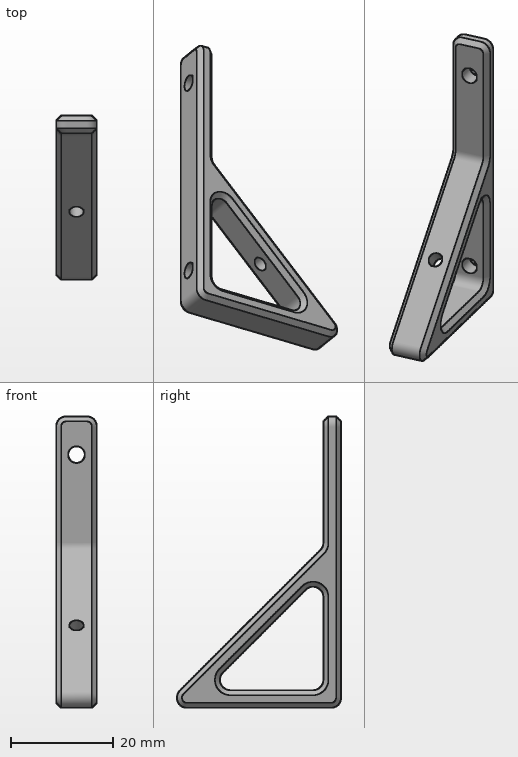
import cadquery as cq
import math

width = 8.0
height = 57.0
bar = 3.5
inner_sum = 30.0
corner_radius = 2.0
edge_chamfer = 1.0

wall_hole_diameter = 3.2
wall_hole_inset = 7.5
brace_hole_diameter = 2.8
brace_hole_height = 16.13

outer_sum = inner_sum + bar * math.sqrt(2)
brace_top = outer_sum - bar
window_tip = inner_sum - bar


def side_prism(points):
    """Extrude an outline of (depth, height) points over the full width, centred on X = 0."""
    outline = [(-depth, level) for depth, level in points]
    return cq.Workplane("YZ").polyline(outline).close().extrude(width / 2, both=True)


def make_frame():
    """Outer outline with rounded corners, chamfered all along both side faces."""
    frame = side_prism([(0, 0), (outer_sum, 0), (bar, brace_top), (bar, height), (0, height)])
    frame = frame.edges("|X").edges("not >Z").fillet(corner_radius)
    frame = frame.edges("|Y").edges(">Z").fillet(corner_radius)
    return frame.faces("<X").edges("|Z and >Y").chamfer(edge_chamfer)


def cut_window(body):
    """Triangular opening with rounded corners, chamfered at both side faces."""
    window = side_prism([(bar, bar), (window_tip, bar), (bar, window_tip)])
    window = window.edges("|X").fillet(corner_radius)
    body = body.cut(window)
    return body.faces("<X or >X").edges("|Z").edges("<Y").chamfer(edge_chamfer)


def drill_wall(body, level):
    """Through hole in the wall leg, along Y."""
    drill = cq.Solid.makeCylinder(
        wall_hole_diameter / 2, bar, cq.Vector(0, 0, level), cq.Vector(0, -1, 0))
    return body.cut(cq.Workplane(drill))


def drill_brace(body):
    """Through hole in the brace, square to its outer face."""
    entry = cq.Vector(0, brace_hole_height - outer_sum, brace_hole_height)
    inward = cq.Vector(0, 1, -1)
    start = entry - inward.normalized() * bar
    drill_length = 3 * bar
    drill = cq.Solid.makeCylinder(brace_hole_diameter / 2, drill_length, start, inward)
    return body.cut(cq.Workplane(drill))


bracket = cut_window(make_frame())
for level in (wall_hole_inset, height - wall_hole_inset):
    bracket = drill_wall(bracket, level)
result = drill_brace(bracket)